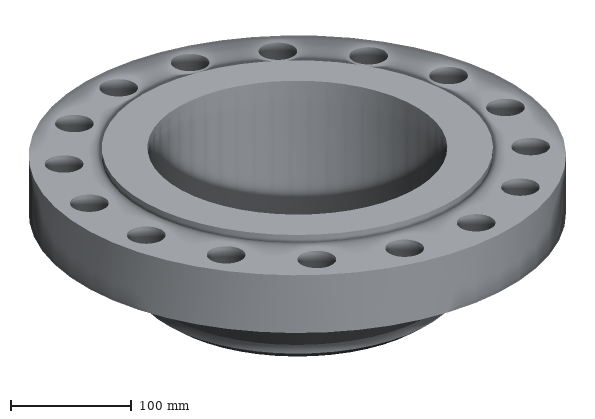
import cadquery as cq

flange_diameter = 444.5
flange_thickness = 53.5
face_diameter = 323.5
face_height = 7.0
bore_diameter = 248.0

bolt_count = 16
bolt_circle_diameter = 387.0
bolt_hole_diameter = 32.0

total_height = 130.2
hub_base_diameter = 314.0
weld_end_diameter = 273.0
weld_end_height = 16.0
bevel_height = 8.0
bevel_width = 10.5
root_fillet_height = 7.5
root_fillet_width = 11.0

face_bottom = total_height - face_height
flange_bottom = face_bottom - flange_thickness
hub_top = flange_bottom - root_fillet_height

flange_radius = flange_diameter / 2
face_radius = face_diameter / 2
bore_radius = bore_diameter / 2
hub_base_radius = hub_base_diameter / 2
weld_end_radius = weld_end_diameter / 2


def make_body():
    """Revolve the half section: bevelled end, tapered hub, root fillet, flange and face."""
    return (
        cq.Workplane("XZ")
        .moveTo(bore_radius, 0)
        .lineTo(weld_end_radius - bevel_width, 0)
        .lineTo(weld_end_radius, bevel_height)
        .lineTo(weld_end_radius, weld_end_height)
        .lineTo(hub_base_radius, hub_top)
        .tangentArcPoint((root_fillet_width, root_fillet_height), relative=True)
        .lineTo(flange_radius, flange_bottom)
        .lineTo(flange_radius, face_bottom)
        .lineTo(face_radius, face_bottom)
        .lineTo(face_radius, total_height)
        .lineTo(bore_radius, total_height)
        .close()
        .revolve(360, (0, 0, 0), (0, 1, 0))
    )


def make_bolt_holes():
    return (
        cq.Workplane("XY")
        .workplane(offset=flange_bottom)
        .polarArray(bolt_circle_diameter / 2, 0, 360, bolt_count)
        .circle(bolt_hole_diameter / 2)
        .extrude(flange_thickness)
    )


result = make_body().cut(make_bolt_holes())